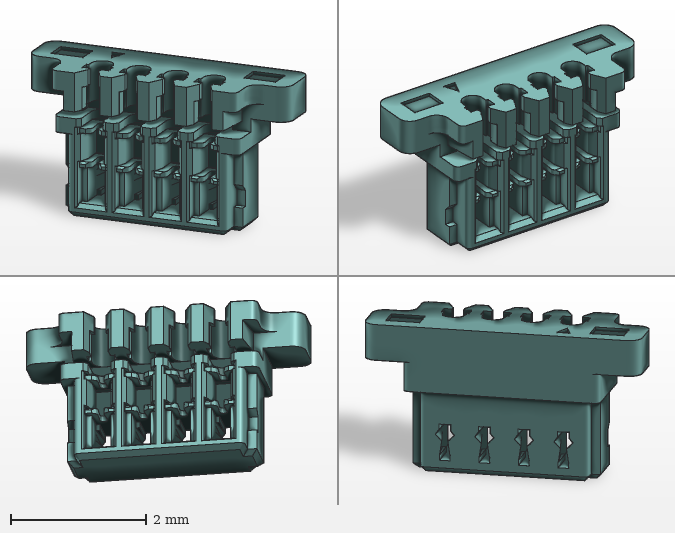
import cadquery as cq

LENGTH = 4.2
TOP_Z = 2.28
LIP_FRONT_Y = -1.37

CELL_COUNT = 4
CELL_PITCH = 0.6
CELL_XS = [(i - (CELL_COUNT - 1) / 2) * CELL_PITCH for i in range(CELL_COUNT)]

FLANGE_FRONT_Y = -0.82
FLANGE_BOTTOM_Z = 1.73
FLANGE_RADIUS = 0.2

NECK_WIDTH = 2.99
NECK_BOTTOM_Z = 1.28
NECK_RADIUS = 0.1
SHELF_TOP_Z = 1.53
BODY_FRONT_Y = -1.24

LIP_STEP_Z = 1.98
LIP_BOTTOM_Z = 1.675
LIP_ROOT_WIDTH = 2.705
LIP_TIP_WIDTH = 2.57

BODY_WIDTH = 2.57
BODY_BACK_Y = -0.2
BODY_RADIUS = 0.085
BODY_CHAMFER = 0.08

EAR_WIDTH = 2.848
EAR_BACK_Y = -0.38
EAR_FRONT_Y = -0.955
NOTCH_DEPTH = 0.1
NOTCH_BOTTOM_Z = 0.38
NOTCH_TOP_Z = 0.725

MARK_DEPTH = 0.05
WINDOW_LENGTH = 0.512
WINDOW_WIDTH = 0.355
WINDOW_X = 1.55
WINDOW_Y = -0.43
ARROW_WIDTH = 0.2
ARROW_BASE_Y = -0.2
ARROW_TIP_Y = -0.455

ARCH_HALF = 0.172
ARCH_BACK_Y = -0.64
SHOULDER_HALF = 0.21
SHOULDER_BACK_Y = -0.9
SHOULDER_FRONT_Y = -1.065
NECK_SLOT_HALF = 0.09
NECK_SLOT_WIDE_HALF = 0.143
NECK_SLOT_STEP_Z = 2.03
VEE_START_Y = -1.142
VEE_FRONT_HALF = 0.205

INNER_BACK_Y = -0.665
GAP_WIDTH = 2.402
MOUTH_HALF = 0.26
MOUTH_CHAMFER = 0.035
CELL_HALF = MOUTH_HALF - MOUTH_CHAMFER
CELL_BACK_Y = -1.035
CHANNEL_HALF = 0.143
FUNNEL_HALF = 0.195
FUNNEL_END_Y = -1.005
SEAT_FRONT_HALF = 0.235
SEAT_TOP_Z = 1.395
UPPER_PLATE_TOP_Z = 1.355
UPPER_PLATE_BOTTOM_Z = 1.28
CHAMBER_BOTTOM_Z = 0.855
CHAMBER_BACK_Y = -0.69
CHAMBER_BEVEL = 0.025
LOWER_PLATE_TOP_Z = 0.835
LOWER_PLATE_BOTTOM_Z = 0.75
PLATE_FRONT_Y = -1.14
PLATE_CHAMFER = 0.035
FLOOR_Z = 0.197
SILL_Z = 0.145

KEYHOLE_HALF = 0.06
KEYHOLE_WAIST_HALF = 0.045
KEYHOLE_BACK_Y = -0.773
KEYHOLE_WAIST_Y = -1.04
KEYHOLE_LIP_RADIUS = 0.07
KEYHOLE_FLARE_HALF = 0.067
KEYHOLE_FLARE_Y = -1.09
KEYHOLE_FRONT_HALF = 0.13

REAR_TOP_HALF = 0.09
REAR_NOTCH_TOP_Z = 0.66
REAR_NOTCH_Z = 0.592
REAR_WAIST_Z = 0.495
REAR_WAIST_HALF = 0.045
REAR_FOOT_Z = 0.277
REAR_FOOT_HALF = 0.08


def box(width, y_front, y_back, z_low, z_high):
    """Block centred on X = 0, between two Y and two Z planes."""
    return (
        cq.Workplane("XY", origin=(0, (y_front + y_back) / 2, z_low))
        .rect(width, y_back - y_front)
        .extrude(z_high - z_low)
    )


def prism(points, z_low, z_high):
    """Closed plan outline raised between two heights."""
    return cq.Workplane("XY", origin=(0, 0, z_low)).polyline(points).close().extrude(z_high - z_low)


def side_prism(points, half_width):
    """Closed YZ outline spread to both sides of X = 0."""
    return cq.Workplane("YZ").polyline(points).close().extrude(half_width, both=True)


def mirrored(right_side):
    """Close a plan outline from its +X half, listed from one end to the other."""
    return right_side + [(-x, y) for x, y in reversed(right_side)]


def flange():
    plate = box(LENGTH, FLANGE_FRONT_Y, 0, FLANGE_BOTTOM_Z, TOP_Z)
    return plate.edges("|Z").fillet(FLANGE_RADIUS)


def neck():
    column = box(NECK_WIDTH, FLANGE_FRONT_Y, 0, NECK_BOTTOM_Z, FLANGE_BOTTOM_Z)
    column = column.edges("|Z and >Y").fillet(NECK_RADIUS)
    shelf = box(NECK_WIDTH, BODY_FRONT_Y, FLANGE_FRONT_Y, NECK_BOTTOM_Z, SHELF_TOP_Z)
    shelf = shelf.edges("|Z and <Y").fillet(NECK_RADIUS)
    return column.union(shelf)


def lip():
    upper = box(NECK_WIDTH, LIP_FRONT_Y, FLANGE_FRONT_Y, LIP_STEP_Z, TOP_Z)
    upper = upper.edges("|Z and <Y").fillet(NECK_RADIUS)
    lower = prism(
        mirrored([(LIP_TIP_WIDTH / 2, LIP_FRONT_Y), (LIP_ROOT_WIDTH / 2, FLANGE_FRONT_Y)]),
        LIP_BOTTOM_Z,
        LIP_STEP_Z,
    )
    return upper.union(lower)


def lip_corner(side):
    """Concave fillet between the flange front and the side of the lip."""
    x = side * NECK_WIDTH / 2
    return (
        cq.Workplane("XY", origin=(0, 0, LIP_STEP_Z))
        .moveTo(x, FLANGE_FRONT_Y)
        .lineTo(x, FLANGE_FRONT_Y - FLANGE_RADIUS)
        .radiusArc((x + side * FLANGE_RADIUS, FLANGE_FRONT_Y), side * FLANGE_RADIUS)
        .close()
        .extrude(TOP_Z - LIP_STEP_Z)
    )


def body():
    block = box(BODY_WIDTH, BODY_FRONT_Y, BODY_BACK_Y, 0, SHELF_TOP_Z)
    block = block.edges("|Z").fillet(BODY_RADIUS).faces("<Z").chamfer(BODY_CHAMFER)
    ears = box(EAR_WIDTH, EAR_FRONT_Y, EAR_BACK_Y, 0, SHELF_TOP_Z).faces("<Z").chamfer(BODY_CHAMFER)
    notch_y = EAR_FRONT_Y + NOTCH_DEPTH
    notch = side_prism(
        [
            (EAR_FRONT_Y, NOTCH_BOTTOM_Z),
            (notch_y, NOTCH_BOTTOM_Z),
            (notch_y, NOTCH_TOP_Z - NOTCH_DEPTH),
            (EAR_FRONT_Y, NOTCH_TOP_Z),
        ],
        EAR_WIDTH / 2,
    )
    return block.union(ears.cut(notch))


def top_marks():
    z_low = TOP_Z - MARK_DEPTH
    windows = cq.Workplane("XY", origin=(0, 0, z_low))
    windows = windows.pushPoints([(-WINDOW_X, WINDOW_Y), (WINDOW_X, WINDOW_Y)])
    windows = windows.rect(WINDOW_LENGTH, WINDOW_WIDTH).extrude(MARK_DEPTH)
    first_x = CELL_XS[0]
    arrow = prism(
        [
            (first_x - ARROW_WIDTH / 2, ARROW_BASE_Y),
            (first_x + ARROW_WIDTH / 2, ARROW_BASE_Y),
            (first_x, ARROW_TIP_Y),
        ],
        z_low,
        TOP_Z,
    )
    return windows.union(arrow)


def arch(y_front, z_low, z_high):
    """Round-backed slot, open at the front."""
    center_y = ARCH_BACK_Y - ARCH_HALF
    return (
        cq.Workplane("XY", origin=(0, 0, z_low))
        .moveTo(-ARCH_HALF, y_front)
        .lineTo(-ARCH_HALF, center_y)
        .threePointArc((0, ARCH_BACK_Y), (ARCH_HALF, center_y))
        .lineTo(ARCH_HALF, y_front)
        .close()
        .extrude(z_high - z_low)
    )


def wire_slot():
    slot = arch(SHOULDER_FRONT_Y, LIP_BOTTOM_Z, TOP_Z)
    shoulders = box(2 * SHOULDER_HALF, SHOULDER_FRONT_Y, SHOULDER_BACK_Y, LIP_BOTTOM_Z, TOP_Z)
    narrow = box(2 * NECK_SLOT_HALF, VEE_START_Y, SHOULDER_FRONT_Y, NECK_SLOT_STEP_Z, TOP_Z)
    wide = box(2 * NECK_SLOT_WIDE_HALF, BODY_FRONT_Y, SHOULDER_FRONT_Y, LIP_BOTTOM_Z, NECK_SLOT_STEP_Z)
    vee = prism(
        mirrored([(VEE_FRONT_HALF, LIP_FRONT_Y), (NECK_SLOT_HALF, VEE_START_Y)]), LIP_BOTTOM_Z, TOP_Z
    )
    return slot.union(shoulders).union(narrow).union(wide).union(vee)


def wire_seat():
    """Arched seat under the lip, flared at 45 degrees towards the front."""
    flare_y = BODY_FRONT_Y + SEAT_FRONT_HALF - ARCH_HALF
    flare = mirrored([(SEAT_FRONT_HALF, BODY_FRONT_Y), (ARCH_HALF, flare_y)])
    return arch(BODY_FRONT_Y, SEAT_TOP_Z, SHELF_TOP_Z).union(prism(flare, SEAT_TOP_Z, SHELF_TOP_Z))


def keyhole():
    """Contact slit through both plates, rounded into a flare at the front."""
    center_y = KEYHOLE_BACK_Y - KEYHOLE_HALF
    return (
        cq.Workplane("XY", origin=(0, 0, LOWER_PLATE_BOTTOM_Z))
        .moveTo(-KEYHOLE_FRONT_HALF, PLATE_FRONT_Y)
        .lineTo(-KEYHOLE_FLARE_HALF, KEYHOLE_FLARE_Y)
        .radiusArc((-KEYHOLE_WAIST_HALF, KEYHOLE_WAIST_Y), -KEYHOLE_LIP_RADIUS)
        .lineTo(-KEYHOLE_HALF, center_y)
        .threePointArc((0, KEYHOLE_BACK_Y), (KEYHOLE_HALF, center_y))
        .lineTo(KEYHOLE_WAIST_HALF, KEYHOLE_WAIST_Y)
        .radiusArc((KEYHOLE_FLARE_HALF, KEYHOLE_FLARE_Y), -KEYHOLE_LIP_RADIUS)
        .lineTo(KEYHOLE_FRONT_HALF, PLATE_FRONT_Y)
        .close()
        .extrude(UPPER_PLATE_TOP_Z - LOWER_PLATE_BOTTOM_Z)
    )


def mouth(y_back, z_low, z_high):
    """Front opening with chamfered sides."""
    outline = [
        (MOUTH_HALF, BODY_FRONT_Y),
        (CELL_HALF, BODY_FRONT_Y + MOUTH_CHAMFER),
        (CELL_HALF, y_back),
    ]
    return prism(mirrored(outline), z_low, z_high)


def barrel_chamber():
    """Chamber between the plates, narrowing to the back in two steps, bevelled along its top rear edge."""
    outline = [
        (MOUTH_HALF, BODY_FRONT_Y),
        (FUNNEL_HALF, BODY_FRONT_Y + MOUTH_HALF - FUNNEL_HALF),
        (CHANNEL_HALF, FUNNEL_END_Y),
        (CHANNEL_HALF, CHAMBER_BACK_Y),
    ]
    bevel = side_prism(
        [
            (CHAMBER_BACK_Y, UPPER_PLATE_BOTTOM_Z),
            (CHAMBER_BACK_Y - CHAMBER_BEVEL, UPPER_PLATE_BOTTOM_Z),
            (CHAMBER_BACK_Y, UPPER_PLATE_BOTTOM_Z - CHAMBER_BEVEL),
        ],
        CHANNEL_HALF,
    )
    return prism(mirrored(outline), CHAMBER_BOTTOM_Z, UPPER_PLATE_BOTTOM_Z).cut(bevel)


def contact_chamber():
    chamber = mouth(CELL_BACK_Y, FLOOR_Z, LOWER_PLATE_BOTTOM_Z)
    channel = box(2 * CHANNEL_HALF, CELL_BACK_Y, INNER_BACK_Y, FLOOR_Z, LOWER_PLATE_BOTTOM_Z)
    sill = side_prism(
        [(PLATE_FRONT_Y, FLOOR_Z), (BODY_FRONT_Y, FLOOR_Z), (BODY_FRONT_Y, SILL_Z)], MOUTH_HALF
    )
    sill = sill.intersect(mouth(PLATE_FRONT_Y, SILL_Z, FLOOR_Z))
    plate_edge = side_prism(
        [
            (PLATE_FRONT_Y, LOWER_PLATE_TOP_Z),
            (PLATE_FRONT_Y + PLATE_CHAMFER, LOWER_PLATE_TOP_Z),
            (PLATE_FRONT_Y, LOWER_PLATE_TOP_Z - PLATE_CHAMFER),
        ],
        CELL_HALF,
    )
    return chamber.union(channel).union(sill).union(plate_edge)


def rear_window():
    """Opening through the rear wall, tapering from the channel to a waisted outline."""
    top = box(2 * REAR_TOP_HALF, INNER_BACK_Y, BODY_BACK_Y, REAR_NOTCH_TOP_Z, LOWER_PLATE_BOTTOM_Z)
    foot = box(2 * REAR_FOOT_HALF, INNER_BACK_Y, BODY_BACK_Y, FLOOR_Z, REAR_FOOT_Z)
    heights = [REAR_FOOT_Z, REAR_WAIST_Z, REAR_NOTCH_Z, REAR_NOTCH_TOP_Z]
    rear_halves = [REAR_FOOT_HALF, REAR_WAIST_HALF, CHANNEL_HALF, REAR_TOP_HALF]
    inner = mirrored([(CHANNEL_HALF, z) for z in heights])
    outer = mirrored(list(zip(rear_halves, heights)))
    middle = (
        cq.Workplane("XZ", origin=(0, INNER_BACK_Y, 0))
        .polyline(inner)
        .close()
        .workplane(offset=INNER_BACK_Y - BODY_BACK_Y)
        .polyline(outer)
        .close()
        .loft(ruled=True)
    )
    return [top, foot, middle]


def cell_cuts():
    return [
        wire_slot(),
        wire_seat(),
        keyhole(),
        mouth(INNER_BACK_Y, UPPER_PLATE_TOP_Z, SEAT_TOP_Z),
        mouth(PLATE_FRONT_Y, UPPER_PLATE_BOTTOM_Z, UPPER_PLATE_TOP_Z),
        barrel_chamber(),
        mouth(INNER_BACK_Y, LOWER_PLATE_TOP_Z, CHAMBER_BOTTOM_Z),
        mouth(PLATE_FRONT_Y, LOWER_PLATE_BOTTOM_Z, LOWER_PLATE_TOP_Z),
        contact_chamber(),
    ] + rear_window()


housing = flange().union(neck()).union(lip()).union(body())
for side in (-1, 1):
    housing = housing.union(lip_corner(side))

housing = housing.cut(top_marks())
housing = housing.cut(box(GAP_WIDTH, FLANGE_FRONT_Y, ARCH_BACK_Y, SHELF_TOP_Z, LIP_BOTTOM_Z))

for cell_x in CELL_XS:
    for tool in cell_cuts():
        housing = housing.cut(tool.translate((cell_x, 0, 0)))

result = housing